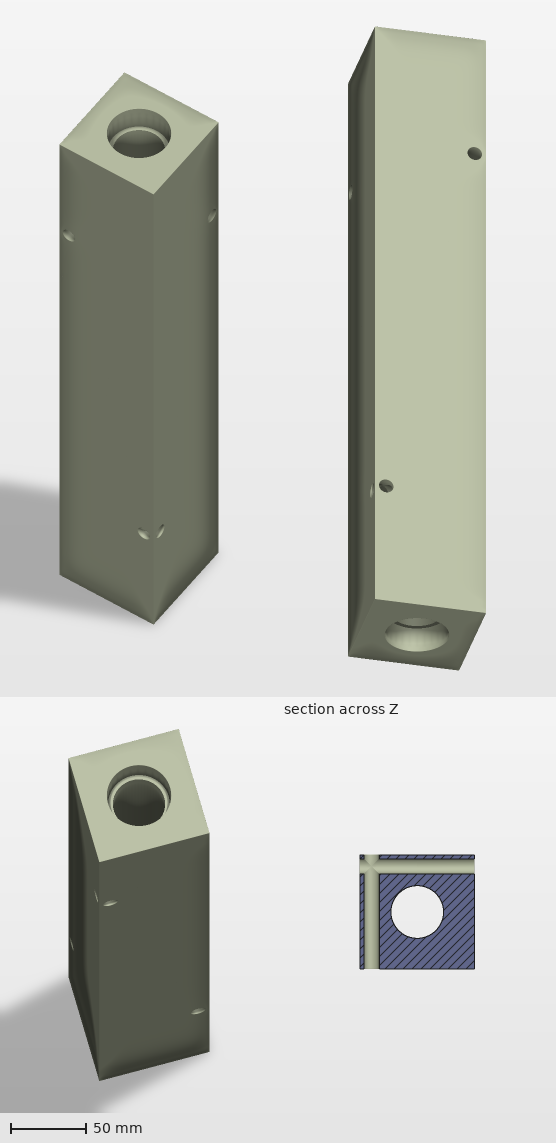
import cadquery as cq

length = 444.5
side = 76.0

bore_diameter = 34.5
socket_mouth_diameter = 42.5
socket_floor_diameter = 41.0
socket_depth = 17.5

cross_hole_diameter = 10.0
cross_hole_offset = 30.2
cross_hole_end_distance = 89.0

edge_break = 0.22


def make_bar():
    """Square bar standing on the XY plane."""
    return cq.Workplane("XY").rect(side, side).extrude(length)


def make_bore():
    """Through bore with both sockets, as a profile revolved about the Z axis."""
    bore_radius = bore_diameter / 2
    mouth_radius = socket_mouth_diameter / 2
    floor_radius = socket_floor_diameter / 2
    upper_floor = length - socket_depth
    profile = [
        (0, 0),
        (mouth_radius, 0),
        (floor_radius, socket_depth),
        (bore_radius, socket_depth),
        (bore_radius, upper_floor),
        (floor_radius, upper_floor),
        (mouth_radius, length),
        (0, length),
    ]
    return cq.Workplane("XZ").polyline(profile).close().revolve(360, (0, 0), (0, 1))


def make_cross_holes(plane, upper_position):
    """Two through holes, at opposite edges near the two ends of the bar."""
    centers = [
        (upper_position, length - cross_hole_end_distance),
        (-upper_position, cross_hole_end_distance),
    ]
    return (
        cq.Workplane(plane)
        .pushPoints(centers)
        .circle(cross_hole_diameter / 2)
        .extrude(side / 2, both=True)
    )


def break_outer_edges(body):
    """Round every edge bordering the six outer faces."""
    outer_faces = body.faces("<X or >X or <Y or >Y or <Z or >Z")
    return outer_faces.edges().fillet(edge_break)


holes_along_y = make_cross_holes("XZ", -cross_hole_offset)
holes_along_x = make_cross_holes("YZ", cross_hole_offset)

drilled_bar = make_bar().cut(make_bore()).cut(holes_along_y).cut(holes_along_x)
result = break_outer_edges(drilled_bar)